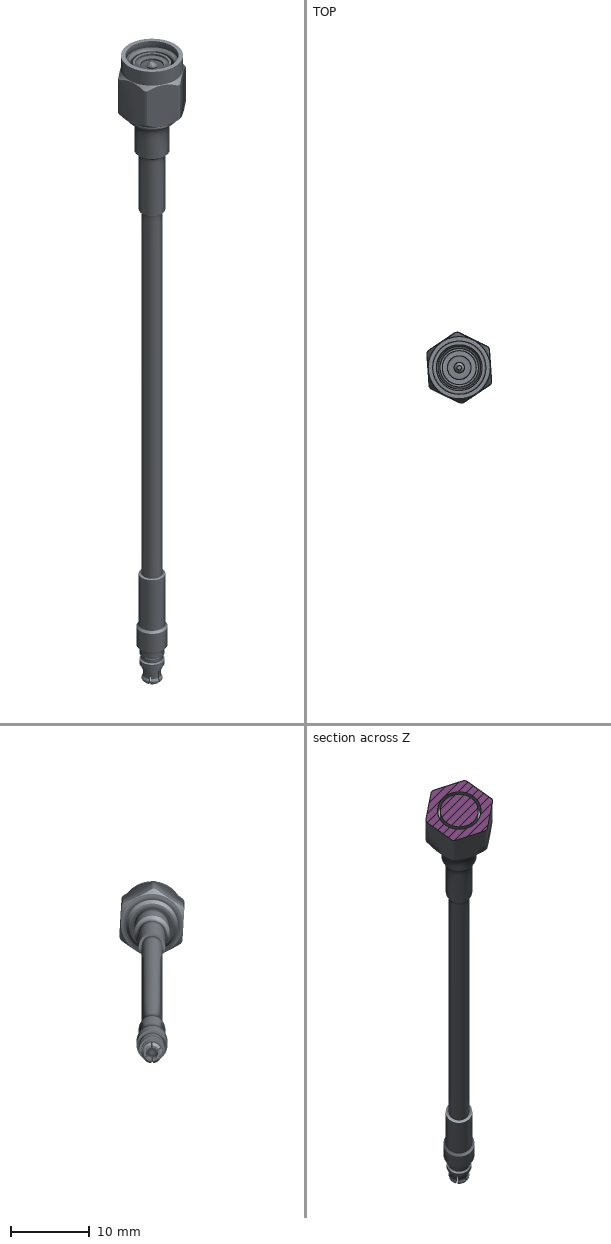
import cadquery as cq
import math

total_length = 93.6

hex_top = total_length - 2.1
hex_bottom = total_length - 8.3
flange_cone_bottom = total_length - 8.9
flange_bottom = total_length - 9.5
hex_sides = 6
hex_across_flats = 8.0
hex_corner_radius = 4.5
hex_chamfer_rise = 0.6
connector_turn = 4.0
nut_rim_radius = 3.9
nut_mouth_radius = 3.4
nut_mouth_depth = 0.9
nut_bore_radius = 2.7
nut_bore_chamfer = 0.2
nut_bore_depth = 4.7
flange_neck_radius = 3.0
flange_radius = 3.3
flange_chamfer = 0.4
barrel_radius = 2.4
barrel_top = total_length - 1.1
socket_radius = 2.15
socket_depth = 0.3
insulator_bore_radius = 1.5
insulator_bore_depth = 0.3
contact_radius = 0.7
contact_tip_radius = 0.3
contact_height = 0.6

cable_radius = 1.3
sleeve_wall = 0.4
sleeve_radius = cable_radius + sleeve_wall
stem_sleeve_radius = 2.2
stem_radius = stem_sleeve_radius - sleeve_wall
stem_bottom = total_length - 14.1
sleeve_cone_bottom = stem_bottom - 0.5
upper_sleeve_bottom = total_length - 23.0
lower_sleeve_top = 16.0

collar_top = 8.4
collar_bottom = 5.3
collar_radius = 2.0
collar_chamfer = collar_radius - sleeve_radius
plug_radius = 1.6
groove_top = 4.1
groove_bottom = 3.3
groove_radius = 1.2
snap_ring_radius = 1.4
snap_ring_height = 0.5
rib_bottom = 2.5
shoulder_bottom = 2.0
shoulder_radius = 1.3
neck_radius = 1.1
lip_radius = 1.3
lip_top = 0.8
lip_chamfer = 0.3
collet_bore_radius = 0.75
slot_width = 0.2
slot_count = 6
first_slot_angle = 90


def revolve_profile(points):
    """Revolve a closed outline of (radius, height) points about the cable axis."""
    outline = [(-radius, height) for radius, height in points]
    return cq.Workplane("XZ").polyline(outline).close().revolve(360, (0, 0, 0), (0, 1, 0))


def make_nut_hexagon():
    """Hexagonal prism with rounded corners and turned chamfers at both ends."""
    half_side_angle = 180 / hex_sides
    corner_diameter = hex_across_flats / math.cos(math.radians(half_side_angle))
    prism = (
        cq.Workplane("XY").workplane(offset=hex_bottom)
        .polygon(hex_sides, corner_diameter).extrude(hex_top - hex_bottom)
        .rotate((0, 0, 0), (0, 0, 1), half_side_angle)
    )
    turned_limit = revolve_profile([
        (0, hex_bottom),
        (nut_rim_radius, hex_bottom),
        (hex_corner_radius, hex_bottom + hex_chamfer_rise),
        (hex_corner_radius, hex_top - hex_chamfer_rise),
        (nut_rim_radius, hex_top),
        (0, hex_top),
    ])
    return prism.intersect(turned_limit)


def make_screw_connector():
    """Nut, flange, socket barrel and contact, with a stem that enters the upper sleeve."""
    mouth_floor = total_length - nut_mouth_depth
    bore_floor = total_length - nut_bore_depth
    socket_floor = barrel_top - socket_depth
    insulator_floor = socket_floor - insulator_bore_depth
    contact_top = insulator_floor + contact_height
    contact_taper = contact_radius - contact_tip_radius
    turned_core = revolve_profile([
        (0, stem_bottom),
        (stem_radius, stem_bottom),
        (stem_radius, flange_bottom),
        (flange_radius - flange_chamfer, flange_bottom),
        (flange_radius, flange_bottom + flange_chamfer),
        (flange_radius, flange_cone_bottom),
        (flange_neck_radius, hex_bottom),
        (nut_rim_radius, hex_bottom),
        (nut_rim_radius, total_length),
        (0, total_length),
    ])
    cavity = revolve_profile([
        (0, insulator_floor),
        (insulator_bore_radius, insulator_floor),
        (insulator_bore_radius, socket_floor),
        (socket_radius, socket_floor),
        (socket_radius, barrel_top),
        (barrel_radius, barrel_top),
        (barrel_radius, bore_floor),
        (nut_bore_radius, bore_floor),
        (nut_bore_radius, mouth_floor - nut_bore_chamfer),
        (nut_bore_radius + nut_bore_chamfer, mouth_floor),
        (nut_mouth_radius, mouth_floor),
        (nut_mouth_radius, total_length),
        (0, total_length),
    ])
    contact = revolve_profile([
        (0, insulator_floor),
        (contact_radius, insulator_floor),
        (contact_radius, contact_top - contact_taper),
        (contact_tip_radius, contact_top),
        (0, contact_top),
    ])
    connector = make_nut_hexagon().union(turned_core).cut(cavity).union(contact)
    return connector.rotate((0, 0, 0), (0, 0, 1), connector_turn)


def make_cable():
    return revolve_profile([
        (0, collar_top),
        (cable_radius, collar_top),
        (cable_radius, stem_bottom),
        (0, stem_bottom),
    ])


def make_upper_sleeve():
    """Sleeve that grips the connector stem, then necks down onto the cable."""
    return revolve_profile([
        (cable_radius, upper_sleeve_bottom),
        (sleeve_radius, upper_sleeve_bottom),
        (sleeve_radius, sleeve_cone_bottom),
        (stem_sleeve_radius, stem_bottom),
        (stem_sleeve_radius, flange_bottom),
        (stem_radius, flange_bottom),
        (stem_radius, stem_bottom),
        (cable_radius, stem_bottom),
    ])


def make_lower_sleeve():
    return revolve_profile([
        (cable_radius, collar_top),
        (sleeve_radius, collar_top),
        (sleeve_radius, lower_sleeve_top),
        (cable_radius, lower_sleeve_top),
    ])


def make_snap_plug():
    """Collared plug with a ringed groove and a slotted, lipped collet at its tip."""
    groove_middle = (groove_top + groove_bottom) / 2
    snap_ring_top = groove_middle + snap_ring_height / 2
    snap_ring_bottom = groove_middle - snap_ring_height / 2
    plug = revolve_profile([
        (0, shoulder_bottom),
        (collet_bore_radius, shoulder_bottom),
        (collet_bore_radius, 0),
        (lip_radius - lip_chamfer, 0),
        (lip_radius, lip_chamfer),
        (lip_radius, lip_top - lip_chamfer),
        (neck_radius, lip_top),
        (neck_radius, shoulder_bottom),
        (shoulder_radius, shoulder_bottom),
        (shoulder_radius, rib_bottom),
        (plug_radius, rib_bottom),
        (plug_radius, groove_bottom),
        (groove_radius, groove_bottom),
        (groove_radius, snap_ring_bottom),
        (snap_ring_radius, snap_ring_bottom),
        (snap_ring_radius, snap_ring_top),
        (groove_radius, snap_ring_top),
        (groove_radius, groove_top),
        (plug_radius, groove_top),
        (plug_radius, collar_bottom),
        (collar_radius, collar_bottom),
        (collar_radius, collar_top - collar_chamfer),
        (collar_radius - collar_chamfer, collar_top),
        (0, collar_top),
    ])
    for i in range(slot_count):
        slot = (
            cq.Workplane("XY")
            .box(2 * lip_radius, slot_width, shoulder_bottom, centered=(False, True, False))
            .rotate((0, 0, 0), (0, 0, 1), first_slot_angle + i * 360 / slot_count)
        )
        plug = plug.cut(slot)
    return plug


screw_connector = make_screw_connector()
upper_sleeve = make_upper_sleeve()
cable = make_cable()
lower_sleeve = make_lower_sleeve()
snap_plug = make_snap_plug()

result = cq.Compound.makeCompound([
    screw_connector.val(),
    upper_sleeve.val(),
    cable.val(),
    lower_sleeve.val(),
    snap_plug.val(),
])